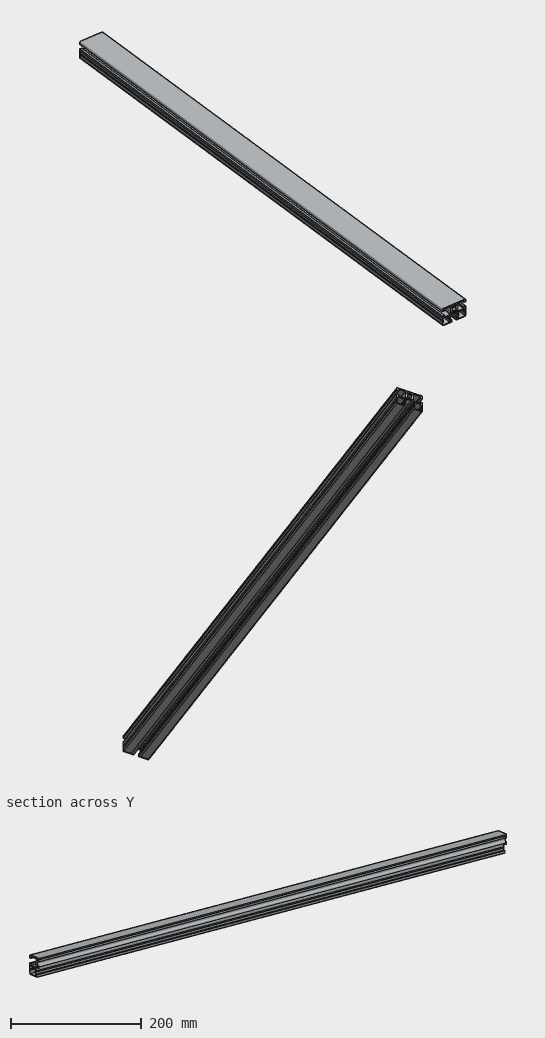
import cadquery as cq

LENGTH = 914.4
WIDTH = 45.0
HEIGHT = 32.0
CORNER_RADIUS = 2.5

SLOT_MOUTH = 8.2
SLOT_INNER_WIDTH = 14.0
SLOT_DEPTH = 15.3
SLOT_LIP = 4.0
SIDE_SLOT_Z = WIDTH / 2

WALL = 1.25
WEB_THICKNESS = 2.2
CHAMBER_TOP = SIDE_SLOT_Z - SLOT_INNER_WIDTH / 2 - WEB_THICKNESS
RIB_HEIGHT = 0.8
RIB_BOTTOM = 7.0
RIB_TOP = 9.0

CORE_BORE_DIAMETER = 6.8
POCKET_NEAR = 4.5
POCKET_FAR = 6.5
POCKET_NEAR_WIDTH = 10.0
POCKET_FAR_WIDTH = 7.6


def bar(y_min, y_max, z_min, z_max):
    """Full-length rectangular bar spanning the given Y and Z ranges."""
    return cq.Workplane("XY").box(LENGTH, y_max - y_min, z_max - z_min, centered=False).translate(
        (-LENGTH / 2, y_min, z_min)
    )


def make_blank():
    """Solid bar with its four long corners rounded."""
    return bar(-WIDTH / 2, WIDTH / 2, 0, HEIGHT).edges("|X").fillet(CORNER_RADIUS)


def make_bottom_slot():
    mouth = bar(-SLOT_MOUTH / 2, SLOT_MOUTH / 2, 0, SLOT_LIP)
    cavity = bar(-SLOT_INNER_WIDTH / 2, SLOT_INNER_WIDTH / 2, SLOT_LIP, SLOT_DEPTH)
    return mouth.union(cavity)


def make_side_slot(side):
    """The bottom slot turned about X; side is +1 for the +Y face and -1 for the -Y face."""
    turned = make_bottom_slot().rotate((0, 0, 0), (1, 0, 0), side * 90)
    return turned.translate((0, side * WIDTH / 2, SIDE_SLOT_Z))


def make_chamber(side):
    """Corner chamber on the +Y (side = 1) or -Y (side = -1) half, less the ribs on its walls."""
    inner = SLOT_INNER_WIDTH / 2 + WALL
    outer = WIDTH / 2 - WALL
    chamber = bar(inner, outer, WALL, CHAMBER_TOP)
    for rib_start in (inner, outer - RIB_HEIGHT):
        chamber = chamber.cut(bar(rib_start, rib_start + RIB_HEIGHT, RIB_BOTTOM, RIB_TOP))
    return chamber if side > 0 else chamber.mirror("XZ")


def make_core_bore():
    bore = cq.Workplane("YZ").center(0, SIDE_SLOT_Z).circle(CORE_BORE_DIAMETER / 2)
    return bore.extrude(LENGTH / 2, both=True)


def make_core_pocket(angle):
    """Trapezoidal pocket beside the bore, widest near it; angle 0 is above, 180 below."""
    near = POCKET_NEAR_WIDTH / 2
    far = POCKET_FAR_WIDTH / 2
    outline = cq.Workplane("YZ").polyline(
        [(-near, POCKET_NEAR), (near, POCKET_NEAR), (far, POCKET_FAR), (-far, POCKET_FAR)]
    )
    pocket = outline.close().extrude(LENGTH / 2, both=True)
    return pocket.rotate((0, 0, 0), (1, 0, 0), angle).translate((0, 0, SIDE_SLOT_Z))


result = make_blank().cut(make_bottom_slot()).cut(make_core_bore())
for angle in (0, 180):
    result = result.cut(make_core_pocket(angle))
for side in (-1, 1):
    result = result.cut(make_side_slot(side)).cut(make_chamber(side))